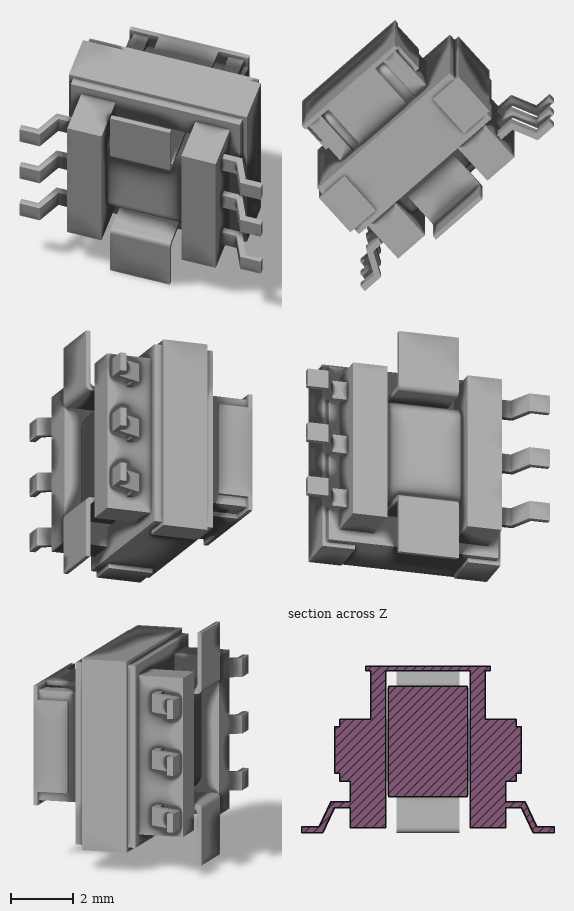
import cadquery as cq


pin_span = 8.13
depth = 5.35
clip_height = 7.6

tape_thickness = 0.15
band_width = 5.99
band_height = 6.25
band_depth = 1.5
band_front = 1.9
flange_thickness = 0.25
flange_width = band_width - 2 * tape_thickness
flange_height = band_height - 2 * tape_thickness
flange_front = band_front - flange_thickness
flange_depth = band_depth + 2 * flange_thickness
flange_back = flange_front + flange_depth
tape_gap_width = 3.8

clip_thickness = 0.15
bend_radius = 0.155
back_plate_width = 4.0
back_plate_height = 3.9
strap_width = 2.01
side_tab_depth = 1.155
side_tab_height = 3.01
clip_inner_height = back_plate_height - 2 * clip_thickness
back_plate_inner = depth - clip_thickness

window_width = 2.69
core_front = 0.71
core_back = 5.16
core_height = 3.52
core_corner_radius = 0.51
core_end_radius = 0.1

rail_front = 0.155
rail_width = 1.155
rail_height = 5.2
post_width = (back_plate_width - window_width) / 2 - clip_thickness

pins_per_side = 3
pin_pitch = 1.85
pin_width = 0.6
pin_thickness = 0.2
pin_rise = 0.8
foot_bend = 3.37
shoulder_bend = 3.0
slant_offset = 0.12


def block(width, front, back, height, x=0.0):
    """Box centred at x and at Z = 0, reaching from front to back along Y."""
    middle = (front + back) / 2
    return cq.Workplane("XY").box(width, back - front, height).translate((x, middle, 0))


def bobbin_body():
    """Flanges and taped band, with the core window running through."""
    band = block(band_width, band_front, band_front + band_depth, band_height)
    gap = block(tape_gap_width, band_front, band_front + band_depth, tape_thickness)
    band = band.cut(gap.translate((0, 0, (tape_thickness - band_height) / 2)))
    flanges = block(flange_width, flange_front, flange_back, flange_height)
    window = block(window_width, flange_front, flange_back, back_plate_height)
    return band.union(flanges).cut(window)


def side_block(side, width, front, back, height):
    """Block standing just outside the window on one side."""
    return block(width, front, back, height, side * (window_width + width) / 2)


def wound_core():
    core = block(window_width, core_front, core_back, core_height)
    core = core.edges("|X").fillet(core_corner_radius)
    return core.faces("<X or >X").edges().fillet(core_end_radius)


def clip_strap():
    """Upper strap: runs forward from the back plate and bends up into a foot."""
    top = back_plate_height / 2
    bottom = top - clip_thickness
    foot_end = clip_height / 2
    return (
        cq.Workplane("YZ")
        .moveTo(depth, bottom)
        .lineTo(bend_radius, bottom)
        .radiusArc((0, bottom + bend_radius), bend_radius)
        .lineTo(0, foot_end)
        .lineTo(clip_thickness, foot_end)
        .lineTo(clip_thickness, top + bend_radius)
        .radiusArc((clip_thickness + bend_radius, top), -bend_radius)
        .lineTo(depth, top)
        .close()
        .extrude(strap_width / 2, both=True)
    )


def clip():
    strap = clip_strap()
    body = block(back_plate_width, back_plate_inner, depth, back_plate_height)
    body = body.union(strap).union(strap.mirror("XY"))
    tab_x = (back_plate_width - clip_thickness) / 2
    for side in (-1, 1):
        body = body.union(
            block(clip_thickness, depth - side_tab_depth, depth, side_tab_height, side * tab_x)
        )
    return body


def pin():
    """One pin on the +X side, centred at Z = 0."""
    root = window_width / 2 + rail_width
    tip = pin_span / 2
    outline = [
        (tip, 0),
        (foot_bend, 0),
        (shoulder_bend, pin_rise),
        (root, pin_rise),
        (root, pin_rise + pin_thickness),
        (shoulder_bend + slant_offset, pin_rise + pin_thickness),
        (foot_bend + slant_offset, pin_thickness),
        (tip, pin_thickness),
    ]
    return cq.Workplane("XY").polyline(outline).close().extrude(pin_width / 2, both=True)


result = bobbin_body().union(wound_core()).union(clip())

for side in (-1, 1):
    result = result.union(side_block(side, rail_width, rail_front, flange_front, rail_height))
    result = result.union(
        side_block(side, post_width, flange_back, back_plate_inner, clip_inner_height)
    )

right_pin = pin()
left_pin = right_pin.mirror("YZ")
for row in range(pins_per_side):
    z = (row - (pins_per_side - 1) / 2) * pin_pitch
    result = result.union(right_pin.translate((0, 0, z)))
    result = result.union(left_pin.translate((0, 0, z)))